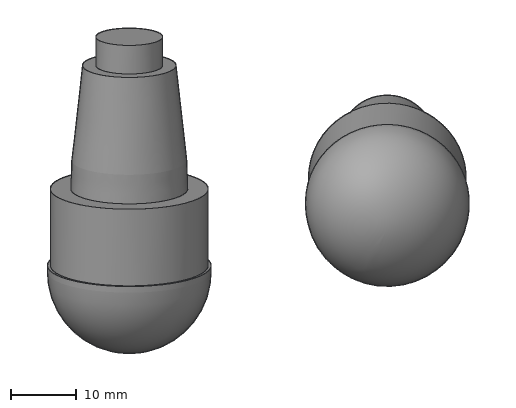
import cadquery as cq

TOTAL_HEIGHT = 49.6

CAP_RADIUS = 12.5
RIM_HEIGHT = 1.0
CAP_TOP = CAP_RADIUS + RIM_HEIGHT

BARREL_RADIUS = 12.05
BARREL_HEIGHT = 12.1
COLLAR_BASE_RADIUS = 8.95
COLLAR_HEIGHT = 4.5
COLLAR_TOP_RADIUS = 8.8
TAPER_TOP_RADIUS = 7.15
TIP_RADIUS = 5.1
TIP_HEIGHT = 4.5

BARREL_TOP = CAP_TOP + BARREL_HEIGHT
COLLAR_TOP = BARREL_TOP + COLLAR_HEIGHT
TAPER_TOP = TOTAL_HEIGHT - TIP_HEIGHT


def make_cap():
    """Hemisphere resting on Z = 0, with its rim and flat top face."""
    arc_middle = (CAP_RADIUS * 0.5 ** 0.5, CAP_RADIUS * (1 - 0.5 ** 0.5))
    return (
        cq.Workplane("XZ")
        .moveTo(0, 0)
        .threePointArc(arc_middle, (CAP_RADIUS, CAP_RADIUS))
        .lineTo(CAP_RADIUS, CAP_TOP)
        .lineTo(0, CAP_TOP)
        .close()
        .revolve(360, (0, 0), (0, 1))
    )


def make_plug():
    """Barrel, slightly conical collar, tapered neck and tip, revolved as one solid."""
    profile = [
        (0, CAP_TOP),
        (BARREL_RADIUS, CAP_TOP),
        (BARREL_RADIUS, BARREL_TOP),
        (COLLAR_BASE_RADIUS, BARREL_TOP),
        (COLLAR_TOP_RADIUS, COLLAR_TOP),
        (TAPER_TOP_RADIUS, TAPER_TOP),
        (TIP_RADIUS, TAPER_TOP),
        (TIP_RADIUS, TOTAL_HEIGHT),
        (0, TOTAL_HEIGHT),
    ]
    return cq.Workplane("XZ").polyline(profile).close().revolve(360, (0, 0), (0, 1))


cap = make_cap()
plug = make_plug()
result = cq.Compound.makeCompound([cap.val(), plug.val()])